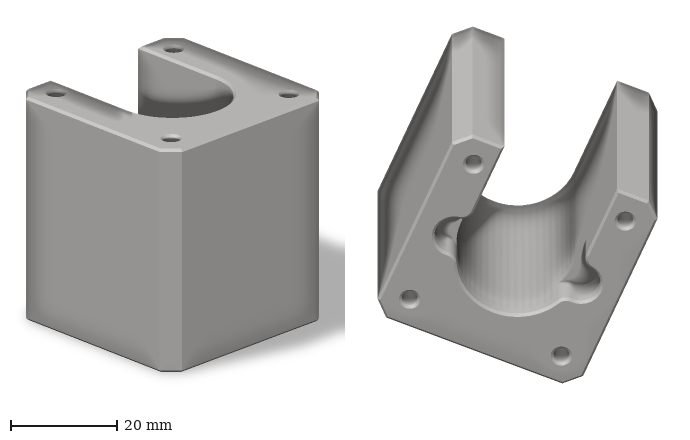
import cadquery as cq

height = 45.5
width = 42.0
corner_chamfer = 3.0
edge_chamfer = 0.5

channel_diameter = 23.02

hole_diameter = 3.0
hole_spacing = 31.0

relief_radius = 3.75
relief_center_y = 12.9
relief_height = 7.0
mouth_fillet = 2.5


def make_block():
    """Square block with its four vertical edges chamfered."""
    block = cq.Workplane("XY").box(width, width, height, centered=(True, True, False))
    return block.edges("|Z").chamfer(corner_chamfer)


def make_channel():
    """Round bore joined to a straight passage out through the -X side."""
    bore = cq.Workplane("XY").circle(channel_diameter / 2).extrude(height)
    passage = cq.Workplane("XY").center(-width / 2, 0).rect(width, channel_diameter).extrude(height)
    return bore.union(passage)


def make_screw_holes():
    return (
        cq.Workplane("XY")
        .rect(hole_spacing, hole_spacing, forConstruction=True)
        .vertices()
        .circle(hole_diameter / 2)
        .extrude(height)
    )


def make_reliefs():
    centers = [(0, relief_center_y), (0, -relief_center_y)]
    return cq.Workplane("XY").pushPoints(centers).circle(relief_radius).extrude(relief_height)


def round_relief_mouths(part):
    """Fillet the upright edges where the reliefs break into the channel."""
    mouth_zone = cq.selectors.BoxSelector(
        (-relief_radius, -relief_center_y, 0),
        (relief_radius, relief_center_y, relief_height),
    )
    return part.edges("|Z").edges(mouth_zone).fillet(mouth_fillet)


body = make_block().cut(make_channel()).cut(make_screw_holes()).cut(make_reliefs())
body = round_relief_mouths(body)

result = body.faces("<Z or >Z").chamfer(edge_chamfer)